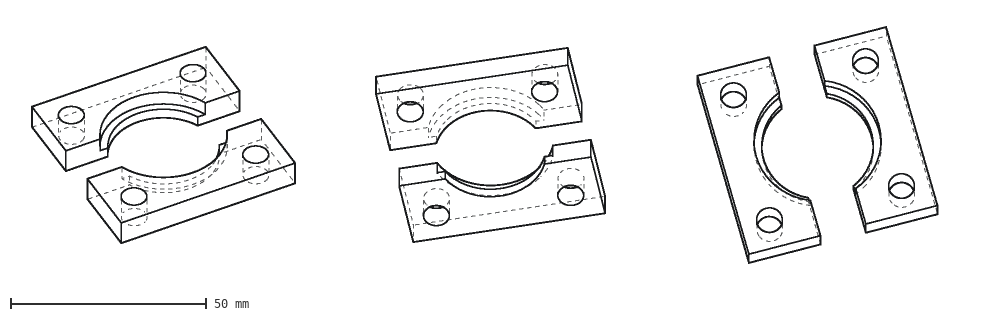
import cadquery as cq

plate_side = 50.0
plate_thickness = 7.0
gap_width = 12.0

bore_diameter = 28.5
recess_diameter = 32.5
recess_depth = 4.0

hole_diameter = 6.6
hole_edge_distance = 7.5

half_width = (plate_side - gap_width) / 2
half_center_x = (gap_width + half_width) / 2
hole_offset = plate_side / 2 - hole_edge_distance


def stepped_bore():
    """Through bore with a wider recess in the top face, used as a cutter."""
    bore = cq.Workplane("XY").circle(bore_diameter / 2).extrude(plate_thickness)
    recess = (
        cq.Workplane("XY")
        .workplane(offset=plate_thickness - recess_depth)
        .circle(recess_diameter / 2)
        .extrude(recess_depth)
    )
    return bore.union(recess)


def clamp_half(side):
    """One half plate: side is -1 for the -X half and +1 for the +X half."""
    plate = (
        cq.Workplane("XY")
        .center(side * half_center_x, 0)
        .rect(half_width, plate_side)
        .extrude(plate_thickness)
    )
    mounting_holes = (
        cq.Workplane("XY")
        .pushPoints([(side * hole_offset, y) for y in (-hole_offset, hole_offset)])
        .circle(hole_diameter / 2)
        .extrude(plate_thickness)
    )
    return plate.cut(stepped_bore()).cut(mounting_holes)


clamp_halves = [clamp_half(side) for side in (-1, 1)]

result = cq.Compound.makeCompound([half.val() for half in clamp_halves])